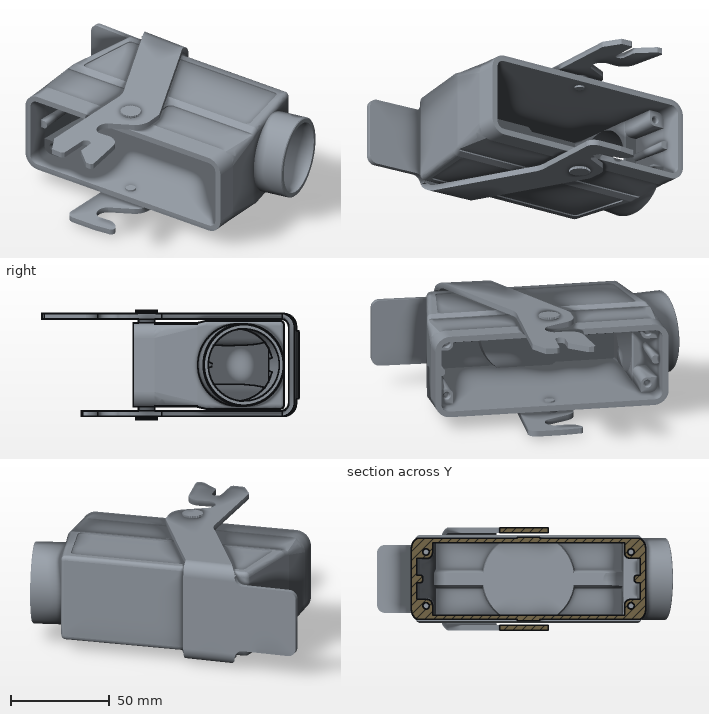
import cadquery as cq
import math


FLANGE_HALF_X = 60.3
FLANGE_HALF_Z = 21.3
FLANGE_HEIGHT = 11.0
FLANGE_CORNER = 7.7
SHOULDER_HALF_X = 58.1
SHOULDER_Y = 32.5
CROWN_START_Y = 37.0
CROWN_HALF_X = 49.4
CROWN_HALF_Z = 22.4
CROWN_Y = 76.5
END_SLOPE = (SHOULDER_HALF_X - CROWN_HALF_X) / (CROWN_Y - SHOULDER_Y)
CROWN_START_HALF_X = SHOULDER_HALF_X - END_SLOPE * (CROWN_START_Y - SHOULDER_Y)
CROWN_CORNER = 2.4
CROWN_EDGE = 2.1

PANEL_DEPTH = 0.68
PIN_PAD_HALF_X = 5.9
LOWER_PANEL_CORNER = 2.9
CROWN_PANEL_TOP_Y = 71.5
CROWN_PANEL_TOP_HALF_X = 45.8
CROWN_PANEL_BOTTOM_HALF_X = 51.6
CROWN_PANEL_CORNER = 2.4

MOUTH_HALF_X = 57.2
CAVITY_HALF_Z = 18.3
CAVITY_CORNER = 3.9
CAVITY_SHOULDER_HALF_X = 55.0
CAVITY_FLOOR_HALF_X = 47.0
CAVITY_FLOOR_Y = 73.4
CAVITY_TOP_CORNER = 0.8

PLATEAU_HEIGHT = 4.5
PLATEAU_RADIUS = 23.1
PLATEAU_DRAFT = 9.0
RIB_BASE_HALF_Z = 4.8
RIB_TOP_HALF_Z = 3.0
POST_FACE_Y = 12.3
POST_INNER_X = 48.6
POST_INNER_Z = 10.4
POST_DRAFT = 0.9
POST_CORNER = 3.0
SCREW_X = 52.0
SCREW_Z = 13.7
SCREW_RADIUS = 1.5
SCREW_CHAMFER = 0.6
SCREW_DEPTH = 15.0
KEY_FACE_Y = 9.0
KEY_INNER_X = 53.5
KEY_HALF_Z = 2.1
KEY_CORNER = 1.8

ENTRY_END_X = 69.5
ENTRY_END_Y = 56.1
ENTRY_TILT = 10.5
ENTRY_RADIUS = 20.9
ENTRY_LENGTH = 19.5
ENTRY_CHAMFER = 0.5
BORE_RADIUS = 18.3
BORE_LENGTH = 36.0
ENTRY_WALL_X = 48.0
ENTRY_WALL_Y = 32.5
ENTRY_WALL_CHAMFER = 0.8

SHEET = 2.9
ARM_OUTER_Z = 26.1
BEND_RADIUS = 6.8
WEB_TILT = 2.4
HANDLE_END_X = -76.7
HANDLE_TOP_Y = 84.2
HANDLE_HALF_Z = 17.3
HANDLE_CORNER = 4.2
HANDLE_LENGTH = 28.2
FLARE_RADIUS = 4.5
WEB_OVERLAP = 1.5
BLANK_LENGTH = 150.1
BLANK_DROP = 180.1

PIN_Y = 6.9
COLLAR_RADIUS = 4.2
PIN_RADIUS = 2.5
PIN_INNER_Z = 17.4
NECK_RADIUS = 4.7
HEAD_RADIUS = 5.4
HEAD_BOTTOM_Z = 26.7
HEAD_TOP_Z = 27.8
KNURL_TEETH = 28
KNURL_DEPTH = 0.5


def tapered(start, end):
    """Straight-sided body between two (y, half_x, half_z, corner) sections."""
    y0, x0, z0, r0 = start
    y1, x1, z1, r1 = end
    lower = cq.Sketch().rect(2 * x0, 2 * z0).vertices().fillet(r0)
    upper = cq.Sketch().rect(2 * x1, 2 * z1).vertices().fillet(r1)
    lower_plane = cq.Workplane("XZ", origin=(0, y0, 0))
    return lower_plane.placeSketch(lower, upper.moved(cq.Location(cq.Vector(0, 0, y0 - y1)))).loft()


def box(x0, x1, y0, y1, z0, z1):
    return cq.Workplane("XY").box(x1 - x0, y1 - y0, z1 - z0, centered=False).translate((x0, y0, z0))


def both_z(body):
    """The body together with its mirror image across Z = 0."""
    return body.union(body.mirror("XY"))


def hood_outside():
    flange = (FLANGE_HEIGHT, FLANGE_HALF_X, FLANGE_HALF_Z, FLANGE_CORNER)
    shoulder = (SHOULDER_Y, SHOULDER_HALF_X, FLANGE_HALF_Z, CROWN_CORNER)
    crown_start = (CROWN_START_Y, CROWN_START_HALF_X, CROWN_HALF_Z, CROWN_CORNER)
    crown = (CROWN_Y, CROWN_HALF_X, CROWN_HALF_Z, CROWN_CORNER)
    body = tapered(crown_start, crown).faces(">Y").edges().fillet(CROWN_EDGE)
    body = body.union(tapered(shoulder, crown_start)).union(tapered(flange, shoulder))
    return body.union(tapered((0,) + flange[1:], flange))


def cavity():
    """Straight mouth, then end walls that lean in twice on the way to the floor."""
    mouth = (MOUTH_HALF_X, CAVITY_HALF_Z, CAVITY_CORNER)
    shoulder = (SHOULDER_Y, CAVITY_SHOULDER_HALF_X, CAVITY_HALF_Z, CAVITY_TOP_CORNER)
    floor = (CAVITY_FLOOR_Y, CAVITY_FLOOR_HALF_X, CAVITY_HALF_Z, CAVITY_TOP_CORNER)
    straight = tapered((0,) + mouth, (POST_FACE_Y,) + mouth)
    return straight.union(tapered((POST_FACE_Y,) + mouth, shoulder)).union(tapered(shoulder, floor))


def lower_panels():
    """Pockets beside the pin pad, running out at the ends of the hood."""
    panel_z = FLANGE_HALF_Z - PANEL_DEPTH
    right = box(PIN_PAD_HALF_X, FLANGE_HALF_X, FLANGE_HEIGHT, SHOULDER_Y, panel_z, CROWN_HALF_Z)
    right = right.edges("|Z and <X").fillet(LOWER_PANEL_CORNER)
    return both_z(right.union(right.mirror("YZ")))


def crown_panels():
    panel = (
        cq.Workplane("XY", origin=(0, 0, CROWN_HALF_Z - PANEL_DEPTH))
        .moveTo(-CROWN_PANEL_BOTTOM_HALF_X, CROWN_START_Y)
        .lineTo(CROWN_PANEL_BOTTOM_HALF_X, CROWN_START_Y)
        .lineTo(CROWN_PANEL_TOP_HALF_X, CROWN_PANEL_TOP_Y)
        .lineTo(-CROWN_PANEL_TOP_HALF_X, CROWN_PANEL_TOP_Y)
        .close()
        .extrude(PANEL_DEPTH)
        .edges("|Z")
        .fillet(CROWN_PANEL_CORNER)
    )
    return both_z(panel)


def entry_cylinder(radius, length):
    """Cylinder reaching back into the hood from the outer end of the cable entry."""
    tilt = math.radians(ENTRY_TILT)
    axis = (-math.cos(tilt), -math.sin(tilt), 0)
    end = cq.Plane(origin=(ENTRY_END_X, ENTRY_END_Y, 0), xDir=(0, 0, 1), normal=axis)
    return cq.Workplane(end).circle(radius).extrude(length)


def floor_plateau():
    """Round plateau and a rib along X, both with drafted sides, standing on the cavity floor."""
    top_y = CAVITY_FLOOR_Y - PLATEAU_HEIGHT
    disc = cq.Workplane("XZ", origin=(0, top_y, 0)).circle(PLATEAU_RADIUS)
    disc = disc.extrude(-PLATEAU_HEIGHT, taper=-PLATEAU_DRAFT)
    rib = (
        cq.Workplane("YZ", origin=(-MOUTH_HALF_X, 0, 0))
        .moveTo(CAVITY_FLOOR_Y, -RIB_BASE_HALF_Z)
        .lineTo(CAVITY_FLOOR_Y, RIB_BASE_HALF_Z)
        .lineTo(top_y, RIB_TOP_HALF_Z)
        .lineTo(top_y, -RIB_TOP_HALF_Z)
        .close()
        .extrude(2 * MOUTH_HALF_X)
    )
    return disc.union(rib)


def screw_posts():
    """Four drafted posts, widest at the cavity floor, grown from the corners of the cavity."""
    width_x = FLANGE_HALF_X - POST_INNER_X
    width_z = FLANGE_HALF_Z - POST_INNER_Z
    post = (
        cq.Workplane("XZ", origin=(POST_INNER_X + width_x / 2, POST_FACE_Y, POST_INNER_Z + width_z / 2))
        .sketch()
        .rect(width_x, width_z)
        .vertices("<X and <Y")
        .fillet(POST_CORNER)
        .finalize()
        .extrude(POST_FACE_Y - CAVITY_FLOOR_Y, taper=-POST_DRAFT)
    )
    right = both_z(post)
    return right.union(right.mirror("YZ"))


def entry_wall():
    """Thick end wall that carries the cable entry, leaving a step across the cavity."""
    wall = box(ENTRY_WALL_X, FLANGE_HALF_X, ENTRY_WALL_Y, CAVITY_FLOOR_Y, -CAVITY_HALF_Z, CAVITY_HALF_Z)
    return wall.edges("|Z and <X and <Y").chamfer(ENTRY_WALL_CHAMFER)


def screw_holes():
    faces = cq.Workplane("XZ", origin=(0, POST_FACE_Y, 0))
    centers = faces.rect(2 * SCREW_X, 2 * SCREW_Z, forConstruction=True).vertices()
    drill = centers.circle(SCREW_RADIUS).extrude(-SCREW_DEPTH)
    mouth = centers.circle(SCREW_RADIUS + SCREW_CHAMFER).extrude(-SCREW_CHAMFER, taper=45)
    return drill.union(mouth)


def end_keys():
    key = box(KEY_INNER_X, FLANGE_HALF_X, KEY_FACE_Y, CAVITY_FLOOR_Y, -KEY_HALF_Z, KEY_HALF_Z)
    key = key.edges("|Y and <X").fillet(KEY_CORNER)
    return key.union(key.mirror("YZ"))


def hood():
    inside = cavity()
    entry = entry_cylinder(ENTRY_RADIUS, ENTRY_LENGTH).faces(">X").edges().chamfer(ENTRY_CHAMFER)
    shell = hood_outside().union(entry).cut(inside).cut(lower_panels()).cut(crown_panels())
    fittings = floor_plateau().union(entry_wall()).union(screw_posts()).union(end_keys())
    shell = shell.union(fittings.intersect(inside))
    return shell.cut(screw_holes()).cut(entry_cylinder(BORE_RADIUS, BORE_LENGTH))


def arm_top(arm):
    """Common start of both arm outlines: from the web down the left edge past the elbow."""
    return (
        arm.moveTo(-16.8, 84.0)
        .lineTo(-43.8, 84.0)
        .lineTo(-43.8, 81.8)
        .threePointArc((-42.2, 79.2), (-40.5, 75.6))
        .lineTo(-15.5, 22.4)
        .threePointArc((-14.9, 20.0), (-14.7, 17.4))
    )


def arm_pivot(arm):
    """Common end of both arm outlines: from the hook throat around the pivot and back to the web."""
    return (
        arm.threePointArc((-6.2, -12.0), (-3.9, -7.8))
        .lineTo(8.3, -1.4)
        .threePointArc((11.3, 2.3), (12.3, 6.8))
        .lineTo(12.3, 14.5)
        .lineTo(-16.2, 75.6)
        .close()
    )


def fork_arm():
    """Long arm (+Z side), ending in a fork with a slot."""
    arm = (
        arm_top(cq.Workplane("XY"))
        .lineTo(-17.4, -35.7)
        .lineTo(-12.3, -45.0)
        .lineTo(-6.3, -45.3)
        .lineTo(-5.1, -44.3)
        .lineTo(-4.4, -29.9)
        .threePointArc((-2.0, -27.6), (0.6, -29.9))
        .lineTo(0.6, -37.8)
        .lineTo(9.6, -46.2)
        .lineTo(12.3, -46.2)
        .lineTo(13.4, -44.9)
        .lineTo(11.1, -23.9)
        .threePointArc((8.5, -19.7), (4.4, -17.9))
        .lineTo(-2.5, -18.2)
    )
    return arm_pivot(arm).extrude(ARM_OUTER_Z)


def hook_arm():
    """Short arm (-Z side), ending in a plain rounded hook."""
    arm = (
        arm_top(cq.Workplane("XY"))
        .lineTo(-16.8, -20.5)
        .threePointArc((-15.6, -24.9), (-12.2, -26.3))
        .lineTo(1.2, -26.3)
        .lineTo(8.9, -25.4)
        .threePointArc((11.0, -24.3), (11.0, -22.4))
        .threePointArc((8.4, -19.2), (4.4, -17.9))
        .lineTo(-2.5, -18.2)
    )
    return arm_pivot(arm).extrude(-ARM_OUTER_Z)


def tilt_web(body):
    """Place a body drawn with the handle tip's top edge at the origin and the web along X."""
    return body.rotate((0, 0, 0), (0, 0, 1), -WEB_TILT).translate((HANDLE_END_X, HANDLE_TOP_Y, 0))


def folded_sheet():
    """Oversized U of sheet metal from which the lever is trimmed."""
    outside = box(0, BLANK_LENGTH, -BLANK_DROP, 0, -ARM_OUTER_Z, ARM_OUTER_Z)
    outside = outside.edges("|X and >Y").fillet(BEND_RADIUS)
    inner_z = ARM_OUTER_Z - SHEET
    inside = box(0, BLANK_LENGTH, -BLANK_DROP, -SHEET, -inner_z, inner_z)
    inside = inside.edges("|X and >Y").fillet(BEND_RADIUS - SHEET)
    return tilt_web(outside.cut(inside))


def handle():
    """Plan of the handle: rounded tip, then flares widening into the bends."""
    flare_x = HANDLE_LENGTH + FLARE_RADIUS
    flare_z = HANDLE_HALF_Z + FLARE_RADIUS
    end_x = flare_x + WEB_OVERLAP
    diagonal = FLARE_RADIUS * math.sqrt(0.5)
    plan = (
        cq.Workplane("XZ")
        .lineTo(0, HANDLE_HALF_Z)
        .lineTo(HANDLE_LENGTH, HANDLE_HALF_Z)
        .threePointArc((HANDLE_LENGTH + diagonal, flare_z - diagonal), (flare_x, flare_z))
        .lineTo(end_x, flare_z)
        .lineTo(end_x, 0)
        .close()
        .extrude(BEND_RADIUS)
        .edges("|Y and <X")
        .edges(">Z")
        .fillet(HANDLE_CORNER)
    )
    return tilt_web(both_z(plan))


def lever():
    outlines = fork_arm().union(hook_arm()).union(handle())
    return folded_sheet().intersect(outlines)


def knurled_head():
    points = []
    for step in range(2 * KNURL_TEETH):
        radius = HEAD_RADIUS - KNURL_DEPTH * (step % 2)
        angle = math.pi * step / KNURL_TEETH
        points.append((radius * math.cos(angle), radius * math.sin(angle)))
    plane = cq.Workplane("XY", origin=(0, PIN_Y, HEAD_BOTTOM_Z))
    return plane.polyline(points).close().extrude(HEAD_TOP_Z - HEAD_BOTTOM_Z)


def pin_length(radius, z0, z1):
    return cq.Workplane("XY", origin=(0, PIN_Y, z0)).circle(radius).extrude(z1 - z0)


def pivot_pins():
    collar_start = FLANGE_HALF_Z - PANEL_DEPTH
    pin = pin_length(PIN_RADIUS, PIN_INNER_Z, HEAD_BOTTOM_Z)
    pin = pin.union(pin_length(COLLAR_RADIUS, collar_start, ARM_OUTER_Z))
    pin = pin.union(pin_length(NECK_RADIUS, ARM_OUTER_Z, HEAD_BOTTOM_Z))
    return both_z(pin.union(knurled_head()))


result = hood().union(lever()).union(pivot_pins())